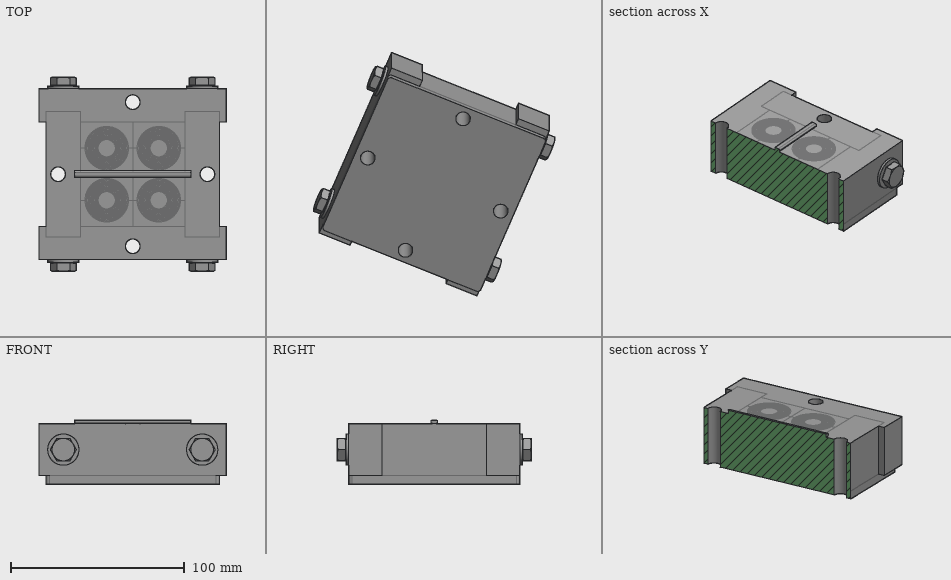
import cadquery as cq
import math

plate_width = 100.0
plate_depth = 98.5
plate_thickness = 5.0
plate_corner_radius = 2.0

frame_height = 30.0
end_bar_length = 108.0
side_bar_setback = 13.0
side_bar_width = 20.0

module_size = 30.0
modules_per_row = 2
core_diameter = 10.0
peel_diameter_step = 1.25
peel_layers = 12

strip_length = 67.0
strip_width = 4.0
strip_thickness = 2.0

mounting_hole_diameter = 8.3
mounting_hole_x = 43.0
mounting_hole_y = 41.5

bolt_x = 40.0
washer_diameter = 18.0
washer_thickness = 1.5
collar_diameter = 11.5
collar_thickness = 0.5
hex_across_flats = 13.0
bolt_tip_span = 111.9
hex_chamfer_angle = 30.0

frame_top = plate_thickness + frame_height
window_size = modules_per_row * module_size
frame_depth = plate_depth
end_bar_width = (frame_depth - window_size) / 2
side_bar_length = frame_depth - 2 * side_bar_setback
bolt_z = plate_thickness + frame_height / 2
bolt_height = (bolt_tip_span - frame_depth) / 2
hex_across_corners = hex_across_flats / math.cos(math.radians(30))
hex_height = bolt_height - washer_thickness - collar_thickness


def frame_block(x_size, y_size, x_centre, y_centre):
    """Block of the full frame height standing on the mounting plate."""
    block = cq.Workplane("XY").box(x_size, y_size, frame_height, centered=(True, True, False))
    return block.translate((x_centre, y_centre, plate_thickness))


def make_plate():
    plate = cq.Workplane("XY").box(plate_width, plate_depth, plate_thickness, centered=(True, True, False))
    return plate.edges("|Z").fillet(plate_corner_radius)


def make_side_bar(side):
    x_centre = side * (window_size + side_bar_width) / 2
    return frame_block(side_bar_width, side_bar_length, x_centre, 0)


def make_end_bar(side):
    y_centre = side * (window_size + end_bar_width) / 2
    bar = frame_block(end_bar_length, end_bar_width, 0, y_centre)
    return bar.cut(make_side_bar(-1)).cut(make_side_bar(1))


def module_disc(x_centre, y_centre, diameter):
    """Round body of the full frame height, centred in a module."""
    base = cq.Workplane("XY", origin=(x_centre, y_centre, plate_thickness))
    return base.circle(diameter / 2).extrude(frame_height)


def make_module(x_centre, y_centre):
    """Bodies of one module: a core, nested peel-off layers and two half blocks around them."""
    filled = module_disc(x_centre, y_centre, core_diameter)
    module_bodies = [filled]
    for layer in range(1, peel_layers + 1):
        outer = module_disc(x_centre, y_centre, core_diameter + layer * peel_diameter_step)
        module_bodies.append(outer.cut(filled))
        filled = outer
    for side in (-1, 1):
        half = frame_block(module_size, module_size / 2, x_centre, y_centre + side * module_size / 4)
        module_bodies.append(half.cut(filled))
    return module_bodies


def make_strip():
    return (
        cq.Workplane("YZ", origin=(-strip_length / 2, 0, frame_top + strip_thickness / 2))
        .slot2D(strip_width, strip_thickness)
        .extrude(strip_length)
    )


def make_bolt():
    """Washer, collar and chamfered hexagon head, pointing along +Z from the origin."""
    washer = cq.Workplane("XY").circle(washer_diameter / 2).extrude(washer_thickness)
    collar = washer.faces(">Z").workplane().circle(collar_diameter / 2).extrude(collar_thickness)
    head = (
        cq.Workplane("XY", origin=(0, 0, bolt_height - hex_height))
        .polygon(6, hex_across_corners)
        .extrude(hex_height)
    )
    tip_radius = hex_across_flats / 2
    corner_drop = (hex_across_corners / 2 - tip_radius) * math.tan(math.radians(hex_chamfer_angle))
    envelope = (
        cq.Workplane("XZ")
        .moveTo(0, 0)
        .lineTo(hex_across_corners / 2, 0)
        .lineTo(hex_across_corners / 2, bolt_height - corner_drop)
        .lineTo(tip_radius, bolt_height)
        .lineTo(0, bolt_height)
        .close()
        .revolve(360, (0, 0, 0), (0, 1, 0))
    )
    return collar.union(head.intersect(envelope))


def make_modules():
    module_bodies = []
    first_centre = (module_size - window_size) / 2
    for column in range(modules_per_row):
        for row in range(modules_per_row):
            x_centre = first_centre + column * module_size
            y_centre = first_centre + row * module_size
            module_bodies.extend(make_module(x_centre, y_centre))
    return module_bodies


def make_bolts(side):
    """The two bolts on one end bar, pointing outward along Y."""
    turned = make_bolt().rotate((0, 0, 0), (1, 0, 0), -90 * side)
    return [turned.translate((x, side * frame_depth / 2, bolt_z)) for x in (-bolt_x, bolt_x)]


def make_mounting_holes():
    centres = [(-mounting_hole_x, 0), (mounting_hole_x, 0), (0, -mounting_hole_y), (0, mounting_hole_y)]
    return cq.Workplane("XY").pushPoints(centres).circle(mounting_hole_diameter / 2).extrude(frame_top)


bodies = [make_strip()]
bodies.extend(make_modules())
for side in (-1, 1):
    bodies.append(make_side_bar(side))
    bodies.append(make_end_bar(side))
    bodies.extend(make_bolts(side))

joined = make_plate().val().fuse(*[body.val() for body in bodies])
result = cq.Workplane(joined).cut(make_mounting_holes(), clean=False)